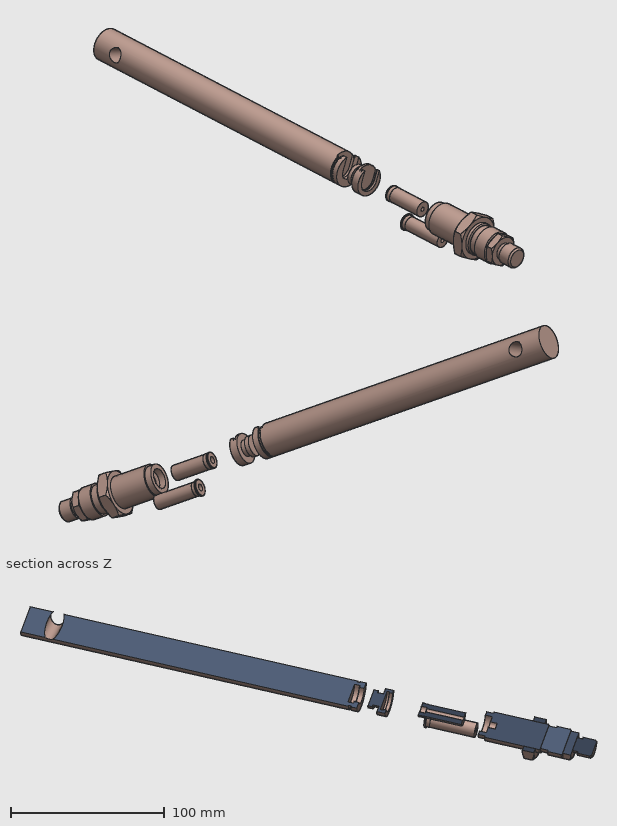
import cadquery as cq
import math


hook_tilt = 21.0
slot_clearance = 0.5

rod_diameter = 22.5
rod_length = 228.0
rod_lip = 3.5
cross_hole_diameter = 10.0
cross_hole_x = 19.3
ring_groove_x = 222.0
ring_groove_width = 1.5
ring_groove_depth = 0.8

plug_x = 234.0
plug_flange_diameter = 14.3
plug_flange_thickness = 3.0
plug_neck_diameter = 11.0
plug_neck_length = 4.0
plug_head_diameter = 20.5
plug_head_length = 5.8
plug_lip = 2.5
plug_slot_width = 14.0
plug_pocket_width = 15.0

pin_x = 267.5
pin_flange_thickness = 1.0
pin_flange_chamfer = 0.5
pin_collar_length = 2.7
pin_collar_step = 0.1
pin_bore_diameter = 2.7
pin_counterbore_diameter = 4.5
pin_counterbore_depth = 4.0
coupling_pin_diameter = 10.8
coupling_pin_flange_diameter = 11.0
coupling_pin_length = 29.3
spare_pin_diameter = 10.0
spare_pin_flange_diameter = 11.5
spare_pin_length = 34.0
spare_pin_y = 13.5
spare_pin_z = -27.0

barrel_x = 309.5
barrel_diameter = 22.5
barrel_length = 42.5
barrel_spigot_diameter = 20.0
barrel_spigot_length = 4.5
barrel_mouth_diameter = 13.5
barrel_mouth_depth = 4.5
barrel_bore_diameter = 4.5
barrel_bore_depth = 9.3
end_chamfer = 0.8

nut_x = 341.0
nut_flats = 29.3
nut_thickness = 8.0
hex_chamfer_angle = 30.0

gland_diameter = barrel_diameter
gland_neck_diameter = 20.0
gland_neck_length = 5.0
gland_length = 15.0

cap_flats = 19.5
cap_length = 5.5
connector_neck_diameter = 11.5
connector_neck_length = 3.5
connector_diameter = 14.3
connector_chamfer = 1.0
assembly_length = 385.5


def cylinder(start, length, diameter):
    return cq.Workplane("YZ", origin=(start, 0, 0)).circle(diameter / 2).extrude(length)


def u_slot(start, length, width):
    """Slot across the X axis with a round floor, open toward +Z."""
    floor = cylinder(start, length, width)
    channel = cq.Workplane("XY").box(length, width, rod_diameter, centered=(False, True, False))
    return floor.union(channel.translate((start, 0, 0)))


def hook_slot(end, lip, neck_width, pocket_width, pocket_length):
    """T-slot that opens at the end face: a narrow neck slot and a wide flange pocket behind it."""
    neck_slot = u_slot(end - lip, lip, neck_width)
    pocket = u_slot(end - lip - pocket_length, pocket_length, pocket_width)
    return neck_slot.union(pocket)


def tilt(body):
    return body.rotate((0, 0, 0), (1, 0, 0), -hook_tilt)


def across_corners(flats):
    half_sector = math.radians(30)
    return flats / math.cos(half_sector)


def hexagon(start, length, flats):
    """Hexagonal prism along X with two corners on the Z axis."""
    outline = cq.Workplane("YZ", origin=(start, 0, 0)).polygon(6, across_corners(flats))
    prism = outline.extrude(length)
    return prism.rotate((0, 0, 0), (1, 0, 0), 90)


def corner_trimmer(start, length, flats, both_ends):
    """Solid of revolution that trims the corners of a hexagon at its far end, or at both ends."""
    corner_radius = across_corners(flats) / 2
    drop = corner_radius - flats / 2
    run = drop * math.tan(math.radians(hex_chamfer_angle))
    profile = cq.Workplane("XY").moveTo(start, 0)
    if both_ends:
        profile = profile.lineTo(start, flats / 2).lineTo(start + run, corner_radius)
    else:
        profile = profile.lineTo(start, corner_radius)
    profile = profile.lineTo(start + length - run, corner_radius)
    profile = profile.lineTo(start + length, flats / 2).lineTo(start + length, 0).close()
    return profile.revolve(360, (0, 0, 0), (1, 0, 0))


def make_rod():
    rod = cylinder(0, rod_length, rod_diameter)
    groove_floor = cylinder(ring_groove_x, ring_groove_width, rod_diameter - 2 * ring_groove_depth)
    groove = cylinder(ring_groove_x, ring_groove_width, rod_diameter).cut(groove_floor)
    cross_hole = cq.Workplane("XZ").center(cross_hole_x, 0).circle(cross_hole_diameter / 2)
    rod = rod.cut(groove).cut(cross_hole.extrude(rod_diameter, both=True))
    neck_width = plug_neck_diameter + slot_clearance
    pocket_width = plug_flange_diameter + slot_clearance
    pocket_length = plug_flange_thickness + slot_clearance
    rod = rod.cut(hook_slot(rod_length, rod_lip, neck_width, pocket_width, pocket_length))
    return tilt(rod)


def make_plug():
    neck_start = plug_x + plug_flange_thickness
    head_start = neck_start + plug_neck_length
    head_end = head_start + plug_head_length
    plug = cylinder(plug_x, plug_flange_thickness, plug_flange_diameter)
    plug = plug.union(cylinder(neck_start, plug_neck_length, plug_neck_diameter))
    plug = plug.union(cylinder(head_start, plug_head_length, plug_head_diameter))
    pocket_length = pin_flange_thickness + slot_clearance
    slot = hook_slot(head_end, plug_lip, plug_slot_width, plug_pocket_width, pocket_length)
    return tilt(plug.cut(slot))


def make_pin(diameter, flange_diameter, length):
    collar_end = pin_flange_thickness + pin_collar_length
    shaft_diameter = diameter - 2 * pin_collar_step
    pin = cylinder(0, pin_flange_thickness, flange_diameter).faces("<X").chamfer(pin_flange_chamfer)
    pin = pin.union(cylinder(pin_flange_thickness, pin_collar_length, diameter))
    pin = pin.union(cylinder(collar_end, length - collar_end, shaft_diameter))
    pin = pin.cut(cylinder(0, length, pin_bore_diameter))
    pin = pin.cut(cylinder(0, pin_counterbore_depth, pin_counterbore_diameter))
    return pin.translate((pin_x, 0, 0))


def make_barrel():
    barrel = cylinder(barrel_x, barrel_spigot_length, barrel_spigot_diameter)
    body_length = barrel_length - barrel_spigot_length
    body = cylinder(barrel_x + barrel_spigot_length, body_length, barrel_diameter)
    barrel = barrel.union(body.faces(">X").chamfer(end_chamfer))
    barrel = barrel.cut(cylinder(barrel_x, barrel_mouth_depth, barrel_mouth_diameter))
    return barrel.cut(cylinder(barrel_x, barrel_bore_depth, barrel_bore_diameter))


def make_nut():
    nut = hexagon(nut_x, nut_thickness, nut_flats)
    nut = nut.intersect(corner_trimmer(nut_x, nut_thickness, nut_flats, both_ends=True))
    return nut.cut(cylinder(nut_x, nut_thickness, barrel_diameter))


def make_gland():
    start = barrel_x + barrel_length
    collar_length = gland_length - gland_neck_length
    gland = cylinder(start, gland_neck_length, gland_neck_diameter)
    collar = cylinder(start + gland_neck_length, collar_length, gland_diameter)
    return gland.union(collar.faces(">X").chamfer(end_chamfer))


def make_cap():
    start = barrel_x + barrel_length + gland_length
    cap = hexagon(start, cap_length, cap_flats)
    return cap.intersect(corner_trimmer(start, cap_length, cap_flats, both_ends=False))


def make_connector():
    start = barrel_x + barrel_length + gland_length + cap_length
    head_start = start + connector_neck_length
    head = cylinder(head_start, assembly_length - head_start, connector_diameter)
    head = head.faces(">X").chamfer(connector_chamfer)
    return head.union(cylinder(start, connector_neck_length, connector_neck_diameter))


rod = make_rod()
plug = make_plug()
coupling_pin = make_pin(coupling_pin_diameter, coupling_pin_flange_diameter, coupling_pin_length)
spare_pin = make_pin(spare_pin_diameter, spare_pin_flange_diameter, spare_pin_length)
spare_pin = spare_pin.translate((0, spare_pin_y, spare_pin_z))
barrel = make_barrel()
nut = make_nut()
gland = make_gland()
cap = make_cap()
connector = make_connector()

bodies = [rod, plug, coupling_pin, spare_pin, barrel, nut, gland, cap, connector]
result = cq.Compound.makeCompound([body.val() for body in bodies])